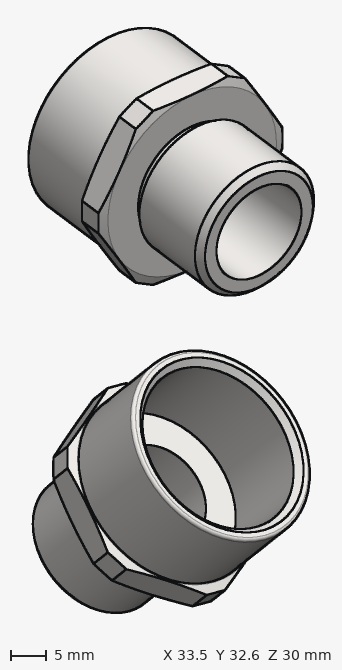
import cadquery as cq
import math

total_length = 33.5
socket_length = 14.0
hex_width = 4.5
neck_width = 1.5

socket_diameter = 29.48
hex_across_flats = 30.0
hex_across_corner_flats = 32.63
neck_diameter = 19.2
spigot_diameter = 21.15

socket_bore_diameter = 24.92
socket_bore_depth = 16.0
through_diameter = 15.08
lead_in_diameter = 26.95
lead_in_depth = 1.0

socket_rim_fillet = 0.5
spigot_chamfer = 1.0
hex_chamfer_end_diameter = 29.88
hex_chamfer_angle = 15.0

hex_end = socket_length + hex_width
spigot_start = hex_end + neck_width
spigot_length = total_length - spigot_start


def cylinder(diameter, start, length):
    """Solid cylinder along +X starting at x = start."""
    return cq.Workplane("YZ", origin=(start, 0, 0)).circle(diameter / 2).extrude(length)


def cone(start_diameter, end_diameter, start, length):
    """Solid truncated cone along +X starting at x = start."""
    return cq.Workplane(
        cq.Solid.makeCone(
            start_diameter / 2, end_diameter / 2, length, cq.Vector(start, 0, 0), cq.Vector(1, 0, 0)
        )
    )


def hexagon(across_flats, rotation):
    """Hexagonal prism at the nut position; at zero rotation its corners lie on +Y and -Y."""
    across_corners = across_flats / math.cos(math.radians(30))
    prism = (
        cq.Workplane("YZ", origin=(socket_length, 0, 0))
        .polygon(6, across_corners)
        .extrude(hex_width)
    )
    return prism.rotate((0, 0, 0), (1, 0, 0), rotation)


def make_hex_nut():
    """Hexagon with flattened corners and shallow conical chamfers on both end faces."""
    nut = hexagon(hex_across_flats, 0).intersect(hexagon(hex_across_corner_flats, 30))
    half_width = hex_width / 2
    middle = socket_length + half_width
    widest_diameter = hex_chamfer_end_diameter + hex_width / math.tan(math.radians(hex_chamfer_angle))
    front_cone = cone(hex_chamfer_end_diameter, widest_diameter, socket_length, half_width)
    back_cone = cone(widest_diameter, hex_chamfer_end_diameter, middle, half_width)
    return nut.intersect(front_cone.union(back_cone))


socket = cylinder(socket_diameter, 0, socket_length).faces("<X").edges().fillet(socket_rim_fillet)
neck = cylinder(neck_diameter, hex_end, neck_width)
spigot = cylinder(spigot_diameter, spigot_start, spigot_length).faces(">X").edges().chamfer(spigot_chamfer)

body = socket.union(make_hex_nut()).union(neck).union(spigot)

lead_in = cone(lead_in_diameter, socket_bore_diameter, 0, lead_in_depth)
socket_bore = cylinder(socket_bore_diameter, 0, socket_bore_depth)
through_bore = cylinder(through_diameter, 0, total_length)

result = body.cut(lead_in).cut(socket_bore).cut(through_bore)